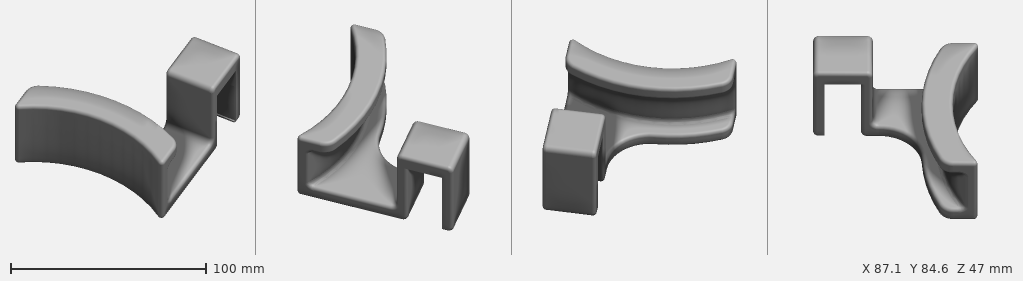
import cadquery as cq
import math

width = 87.05
depth = 84.5
height = 47.0

channel_height = 42.1
flange_thickness = 7.9
back_radius = 87.9
back_apex_y = 28.7
wall_front_apex_y = 12.7
wall_thickness = 6.1
end_corner_radius = 7.8
channel_root_radius = 2.35
curve_x = width / 2
curve_y = back_apex_y - back_radius
wall_front_radius = wall_front_apex_y - curve_y
wall_back_radius = wall_front_radius + wall_thickness

hook_left_x = 59.0
hook_front_y = 53.9
slot_front_y = 59.9
slot_rear_y = 78.7
slot_top_z = 39.0
sweep_radius = 22.1
recess_inset = 1.0
recess_depth = 0.8
recess_height = 25.8
hook_corner_radius = 3.0

edge_radius = 2.0
tolerance = 0.01


def arc_end_y(radius):
    """Y at which a channel arc of this radius reaches the ends of the part."""
    return curve_y + math.sqrt(radius**2 - curve_x**2)


def disc(radius, bottom_z, top_z):
    """Cylinder about the common axis of the curved channel faces."""
    return (
        cq.Workplane("XY", origin=(curve_x, curve_y, bottom_z))
        .circle(radius)
        .extrude(top_z - bottom_z)
    )


def make_channel():
    """C-section channel bent round a vertical axis and cut square at its ends."""
    back = disc(back_radius, 0, channel_height)
    strip = cq.Workplane("XY", origin=(0, curve_y, 0))
    strip = strip.box(width, back_radius, channel_height, centered=False)
    body = back.intersect(strip)
    end_y = arc_end_y(back_radius)
    low = (-tolerance, end_y - tolerance, -tolerance)
    high = (width + tolerance, end_y + tolerance, channel_height + tolerance)
    body = body.edges("|Z").edges(cq.selectors.BoxSelector(low, high)).fillet(end_corner_radius)
    body = body.cut(disc(wall_front_radius, 0, channel_height))
    gap_top_z = channel_height - flange_thickness
    gap = disc(2 * back_radius, flange_thickness, gap_top_z)
    gap = gap.cut(disc(wall_back_radius, flange_thickness, gap_top_z))
    gap = gap.edges("%CIRCLE").edges(cq.selectors.RadiusNthSelector(0)).fillet(channel_root_radius)
    return body.cut(gap)


def make_floor():
    """Flat web whose left side sweeps tangentially into the channel back."""
    sweep_x = hook_left_x - sweep_radius
    center_distance = back_radius + sweep_radius
    lean = math.asin((sweep_x - curve_x) / center_distance)
    sweep_y = curve_y + center_distance * math.cos(lean)
    tangent_x = curve_x + back_radius * math.sin(lean)
    tangent_y = curve_y + back_radius * math.cos(lean)
    middle_angle = -(math.pi / 2 + lean) / 2
    middle = (
        sweep_x + sweep_radius * math.cos(middle_angle),
        sweep_y + sweep_radius * math.sin(middle_angle),
    )
    return (
        cq.Workplane("XY")
        .moveTo(hook_left_x, slot_front_y)
        .lineTo(hook_left_x, sweep_y)
        .threePointArc(middle, (tangent_x, tangent_y))
        .lineTo(tangent_x, curve_y + wall_back_radius * math.cos(lean))
        .lineTo(curve_x, curve_y + wall_back_radius)
        .radiusArc((width, arc_end_y(wall_back_radius)), wall_back_radius)
        .lineTo(width, slot_front_y)
        .close()
        .extrude(flange_thickness)
    )


def make_hook():
    """Inverted U with an open slot between its two legs."""
    hook_width = width - hook_left_x
    return (
        cq.Workplane("YZ", origin=(hook_left_x, 0, 0))
        .moveTo(hook_front_y, 0)
        .lineTo(hook_front_y, height)
        .lineTo(depth, height)
        .lineTo(depth, 0)
        .lineTo(slot_rear_y, 0)
        .lineTo(slot_rear_y, slot_top_z)
        .lineTo(slot_front_y, slot_top_z)
        .lineTo(slot_front_y, 0)
        .close()
        .extrude(hook_width)
    )


def edges_at(body, y, z):
    """Select the hook edge that runs along X at the given Y and Z."""
    low = (0, y - tolerance, z - tolerance)
    high = (width, y + tolerance, z + tolerance)
    return body.edges("|X").edges(cq.selectors.BoxSelector(low, high))


body = make_channel().union(make_floor()).union(make_hook()).clean()

for corner_y, corner_z in (
    (hook_front_y, height),
    (depth, height),
    (depth, 0),
    (slot_front_y, 0),
    (hook_front_y, flange_thickness),
):
    body = edges_at(body, corner_y, corner_z).fillet(hook_corner_radius)


def is_rounded(edge):
    """True for the sharp outer edges; the slot and blended seams stay as they are."""
    box = edge.BoundingBox()

    def near(first, second):
        return abs(first - second) < tolerance

    on_side = any(
        near(box.xmin, side) and near(box.xmax, side) for side in (0, hook_left_x, width)
    )
    if on_side:
        on_slot_rear = near(box.ymin, slot_rear_y) and near(box.ymax, slot_rear_y)
        on_slot_top = near(box.zmin, slot_top_z) and near(box.zmax, slot_top_z)
        on_seam = box.zmax - box.zmin < flange_thickness + tolerance and near(box.ymin, box.ymax)
        return not (on_slot_rear or on_slot_top or on_seam)
    if edge.geomType() != "CIRCLE" or not near(box.zmin, box.zmax):
        return False
    on_wall_back = near(edge.radius(), wall_back_radius + channel_root_radius)
    on_wall_back = on_wall_back or near(edge.radius(), wall_back_radius)
    return not on_wall_back


def make_recess():
    """Shallow rectangular pocket in the slot face of the rear leg."""
    recess_width = width - hook_left_x - 2 * recess_inset
    return (
        cq.Workplane("XY", origin=(hook_left_x + recess_inset, slot_rear_y, recess_inset))
        .box(recess_width, recess_depth, recess_height, centered=False)
    )


sharp_edges = [edge for edge in body.edges().vals() if is_rounded(edge)]
body = body.newObject(sharp_edges).fillet(edge_radius)
result = body.cut(make_recess())